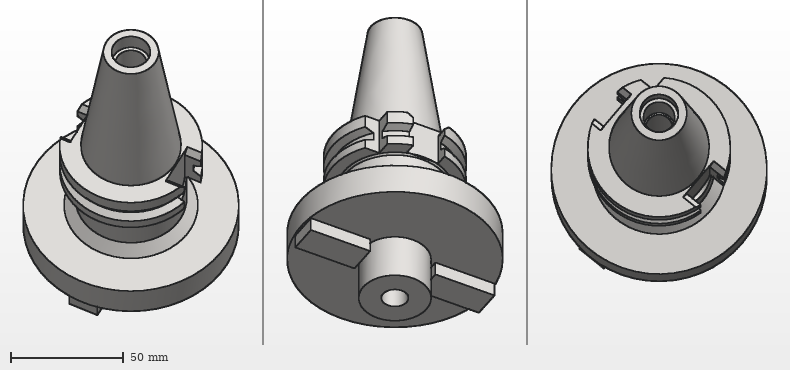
import cadquery as cq

KEY_BOTTOM = 15.2
DISC_BOTTOM = 22.0
DISC_TOP = 37.0
COLLAR_BOTTOM = 62.5
COLLAR_TOP = 80.9
TAPER_BOTTOM = 82.1
TOTAL_HEIGHT = 150.4

SPIGOT_RADIUS = 16.1
DISC_RADIUS = 48.0
NECK_RADIUS = 24.8
COLLAR_RADIUS = 31.7
GROOVE_RADIUS = 28.3
GAUGE_RADIUS = 22.3
TAPER_RATIO = 7 / 24

FOOT_CHAMFER = 5.0
NECK_FLARE = 0.9

GROOVE_LOWER_EDGE = 67.2
GROOVE_UPPER_EDGE = 74.6
GROOVE_FLANK_HEIGHT = 1.8

COUNTERBORE_RADIUS = 8.5
COUNTERBORE_DEPTH = 8.1
THREAD_RADIUS = 6.9
THREAD_DEPTH = 30.1
BORE_RADIUS = 6.0

SLOT_WIDTH = 16.0
SLOT_CHAMFER = 2.7
SHALLOW_SLOT_FLOOR = 25.0
DEEP_SLOT_FLOOR = 22.7

NOTCH_OFFSET = 18.5

KEY_WIDTH = 14.1
KEY_INNER = 16.7
KEY_OUTER = 47.0


def make_body():
    """Revolve the half profile; X is radius and Y is height."""
    taper_top_radius = GAUGE_RADIUS - (TOTAL_HEIGHT - TAPER_BOTTOM) * TAPER_RATIO / 2
    neck_top = COLLAR_BOTTOM - NECK_FLARE
    profile = [
        (0, 0),
        (SPIGOT_RADIUS, 0),
        (SPIGOT_RADIUS, DISC_BOTTOM),
        (DISC_RADIUS, DISC_BOTTOM),
        (DISC_RADIUS, DISC_TOP),
        (NECK_RADIUS + FOOT_CHAMFER, DISC_TOP),
        (NECK_RADIUS, DISC_TOP + FOOT_CHAMFER),
        (NECK_RADIUS, neck_top),
        (NECK_RADIUS + NECK_FLARE, COLLAR_BOTTOM),
        (COLLAR_RADIUS, COLLAR_BOTTOM),
        (COLLAR_RADIUS, GROOVE_LOWER_EDGE),
        (GROOVE_RADIUS, GROOVE_LOWER_EDGE + GROOVE_FLANK_HEIGHT),
        (GROOVE_RADIUS, GROOVE_UPPER_EDGE - GROOVE_FLANK_HEIGHT),
        (COLLAR_RADIUS, GROOVE_UPPER_EDGE),
        (COLLAR_RADIUS, COLLAR_TOP),
        (GAUGE_RADIUS, COLLAR_TOP),
        (GAUGE_RADIUS, TAPER_BOTTOM),
        (taper_top_radius, TOTAL_HEIGHT),
        (0, TOTAL_HEIGHT),
    ]
    return cq.Workplane("XZ").polyline(profile).close().revolve(360, (0, 0), (0, 1))


def make_bore():
    """Through bore with a threaded length and a counterbore at the small taper end."""
    bore = cq.Workplane("XY").circle(BORE_RADIUS).extrude(TOTAL_HEIGHT)
    for radius, depth in (
        (THREAD_RADIUS, THREAD_DEPTH),
        (COUNTERBORE_RADIUS, COUNTERBORE_DEPTH),
    ):
        step = cq.Workplane("XY", origin=(0, 0, TOTAL_HEIGHT)).circle(radius).extrude(-depth)
        bore = bore.union(step)
    return bore


def make_slot(floor, side):
    """Slot through the collar with chamfered mouth; side is -1 or +1 along X."""
    half = SLOT_WIDTH / 2
    outline = [
        (-half, COLLAR_BOTTOM),
        (half, COLLAR_BOTTOM),
        (half, COLLAR_TOP - SLOT_CHAMFER),
        (half + SLOT_CHAMFER, COLLAR_TOP),
        (-half - SLOT_CHAMFER, COLLAR_TOP),
        (-half, COLLAR_TOP - SLOT_CHAMFER),
    ]
    plane = cq.Workplane("YZ", origin=(side * floor, 0, 0))
    return plane.polyline(outline).close().extrude(side * (DISC_RADIUS - floor))


def make_runout():
    """Semicircular end of the deep slot, cut into the neck below the collar."""
    plane = cq.Workplane("YZ", origin=(DEEP_SLOT_FLOOR, 0, COLLAR_BOTTOM))
    return plane.circle(SLOT_WIDTH / 2).extrude(COLLAR_RADIUS - DEEP_SLOT_FLOOR)


def make_notch():
    """Square corner cut through the collar at -X, +Y."""
    size = COLLAR_RADIUS - NOTCH_OFFSET
    height = COLLAR_TOP - COLLAR_BOTTOM
    notch = cq.Workplane("XY").box(size, size, height, centered=False)
    return notch.translate((-COLLAR_RADIUS, NOTCH_OFFSET, COLLAR_BOTTOM))


def make_key(side):
    """Rectangular drive key; side is -1 or +1 along Y."""
    length = KEY_OUTER - KEY_INNER
    middle = (KEY_OUTER + KEY_INNER) / 2
    plane = cq.Workplane("XY", origin=(0, side * middle, KEY_BOTTOM))
    return plane.rect(KEY_WIDTH, length).extrude(DISC_BOTTOM - KEY_BOTTOM)


result = make_body()
for key_side in (-1, 1):
    result = result.union(make_key(key_side))
result = result.cut(make_slot(SHALLOW_SLOT_FLOOR, -1))
result = result.cut(make_slot(DEEP_SLOT_FLOOR, 1))
result = result.cut(make_runout())
result = result.cut(make_notch())
result = result.cut(make_bore())